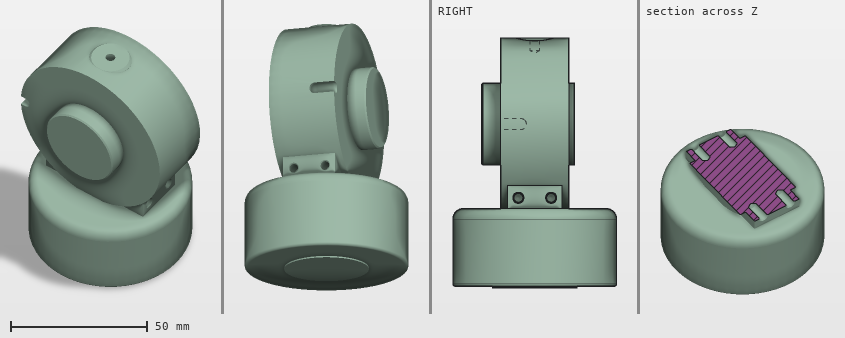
import cadquery as cq
import math

base_diameter = 60.0
pad_diameter = 31.0
pad_height = 0.5
base_top = 29.0
base_top_fillet = 3.9
base_bottom_fillet = 1.0

overall_height = 91.5
disc_diameter = 63.0
disc_radius = disc_diameter / 2
disc_width = 25.0
cap_rise = 0.05
disc_center_z = overall_height - cap_rise - disc_radius
hub_diameter = 30.0
hub_front_y = -19.5
hub_back_y = 14.55
hub_chamfer = 0.5

block_length = 44.0
block_width = 20.0
block_top = 41.2
block_bottom = 27.45
screw_spacing = 12.0
screw_z = 32.9
screw_diameter = 3.3
screw_mouth_diameter = 4.0
screw_depth = 7.3

cap_radius = 8.05
cap_chamfer = 1.0
cap_bottom = 82.35
cap_hole_diameter = 3.6
cap_hole_depth = 4.6

slot_width = 4.0
slot_radius = slot_width / 2
slot_length = 9.4

drill_tip_angle = 118.0


def cylinder_y(diameter, y_start, y_end):
    """Cylinder along Y at the height of the disc centre."""
    return (
        cq.Workplane("XZ", origin=(0, y_start, disc_center_z))
        .circle(diameter / 2)
        .extrude(y_start - y_end)
    )


def drill(diameter, depth, mouth_diameter):
    """Drill pointing down from the origin, with a 45 degree mouth and a conical tip."""
    radius = diameter / 2
    mouth_radius = mouth_diameter / 2
    tip_length = radius / math.tan(math.radians(drill_tip_angle / 2))
    profile = cq.Workplane("XZ").moveTo(0, 0).lineTo(mouth_radius, 0)
    if mouth_radius > radius:
        profile = profile.lineTo(radius, radius - mouth_radius)
    return (
        profile.lineTo(radius, -depth)
        .lineTo(0, -depth - tip_length)
        .close()
        .revolve(360, (0, 0, 0), (0, 1, 0))
    )


def make_base():
    pad = cq.Workplane("XY").circle(pad_diameter / 2).extrude(pad_height)
    drum = (
        cq.Workplane("XY", origin=(0, 0, pad_height))
        .circle(base_diameter / 2)
        .extrude(base_top - pad_height)
        .faces(">Z").edges().fillet(base_top_fillet)
        .faces("<Z").edges().fillet(base_bottom_fillet)
    )
    return drum.union(pad)


def make_block():
    return cq.Workplane("XY", origin=(0, 0, block_bottom)).box(
        block_length, block_width, block_top - block_bottom, centered=(True, True, False)
    )


def make_disc():
    disc = cylinder_y(disc_diameter, -disc_width / 2, disc_width / 2)
    hub = cylinder_y(hub_diameter, hub_front_y, hub_back_y)
    hub = hub.faces("<Y").edges().chamfer(hub_chamfer)
    return disc.union(hub)


def make_cap():
    return (
        cq.Workplane("XY", origin=(0, 0, cap_bottom))
        .circle(cap_radius)
        .extrude(overall_height - cap_bottom)
        .faces(">Z").edges().chamfer(cap_chamfer)
    )


def make_slot():
    """Sweep of a ball-nosed cutter entering from -X and leaving through the front."""
    front_y = -disc_width / 2
    end_y = front_y + slot_length - slot_radius
    tip_x = -disc_radius + slot_width
    ball_x = tip_x - slot_radius
    outer_x = -disc_radius - slot_radius
    diagonal = slot_radius / math.sqrt(2)

    groove = (
        cq.Workplane("XZ", origin=(0, end_y, disc_center_z))
        .moveTo(outer_x, -slot_radius)
        .lineTo(ball_x, -slot_radius)
        .threePointArc((tip_x, 0), (ball_x, slot_radius))
        .lineTo(outer_x, slot_radius)
        .close()
        .extrude(slot_length)
    )
    closed_end = (
        cq.Workplane("XZ", origin=(0, end_y, disc_center_z))
        .moveTo(outer_x, 0)
        .lineTo(outer_x, slot_radius)
        .lineTo(ball_x, slot_radius)
        .threePointArc((ball_x + diagonal, diagonal), (tip_x, 0))
        .close()
        .revolve(180, (0, 0, 0), (-1, 0, 0))
    )
    return groove.union(closed_end)


body = make_base().union(make_block()).union(make_disc()).union(make_cap())
body = body.cut(make_slot())

cap_drill = drill(cap_hole_diameter, cap_hole_depth, cap_hole_diameter)
body = body.cut(cap_drill.translate((0, 0, overall_height)))

screw_drill = drill(screw_diameter, screw_depth, screw_mouth_diameter)
for side in (-1, 1):
    end_drill = screw_drill.rotate((0, 0, 0), (0, 1, 0), side * 90)
    for row in (-1, 1):
        place = (side * block_length / 2, row * screw_spacing / 2, screw_z)
        body = body.cut(end_drill.translate(place))

result = body